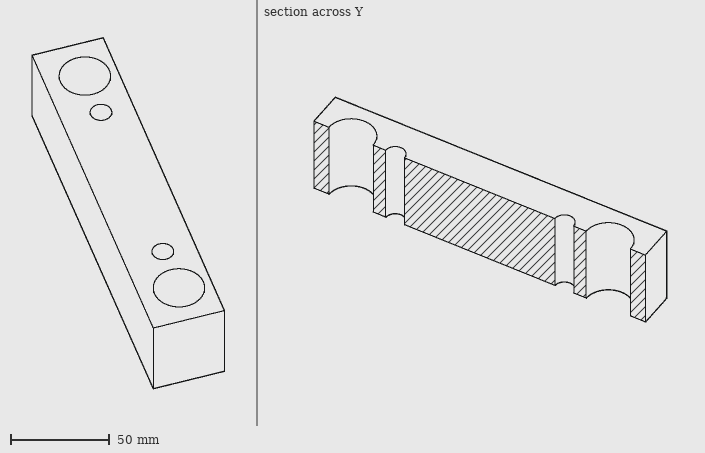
import cadquery as cq

length = 196.0
width = 38.0
height = 46.0

hole_line_y = 2.0
large_diameter = 26.0
large_spacing = 152.0
small_diameter = 11.0
small_spacing = 100.0


def drill_pair(body, diameter, spacing):
    """Drill two vertical through holes, symmetric about the middle of the length."""
    return (
        body.faces(">Z")
        .workplane(origin=(0, 0, 0))
        .pushPoints([(side * spacing / 2, hole_line_y) for side in (-1, 1)])
        .hole(diameter)
    )


block = cq.Workplane("XY").box(length, width, height)
result = drill_pair(block, large_diameter, large_spacing)
result = drill_pair(result, small_diameter, small_spacing)